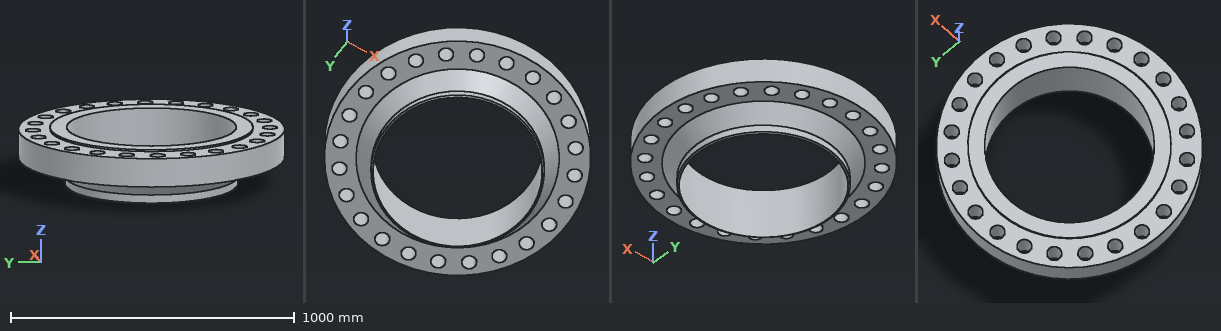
import cadquery as cq

flange_diameter = 940.0
flange_thickness = 102.0
face_diameter = 716.0
face_height = 7.0

total_height = 210.0
hub_diameter = 716.0
neck_diameter = 611.0
neck_height = 34.0
bevel_width = 7.5
bevel_height = 5.0
bore_diameter = 598.0

bolt_count = 24
bolt_circle_diameter = 836.0
bolt_hole_diameter = 52.0

flange_top = total_height - face_height
flange_bottom = flange_top - flange_thickness
bore_radius = bore_diameter / 2
neck_radius = neck_diameter / 2


def make_body():
    """Revolve the half section of the flange, hub and neck about Z."""
    section = [
        (bore_radius, 0),
        (neck_radius - bevel_width, 0),
        (neck_radius, bevel_height),
        (neck_radius, neck_height),
        (hub_diameter / 2, flange_bottom),
        (flange_diameter / 2, flange_bottom),
        (flange_diameter / 2, flange_top),
        (face_diameter / 2, flange_top),
        (face_diameter / 2, total_height),
        (bore_radius, total_height),
    ]
    return cq.Workplane("XZ").polyline(section).close().revolve(360, (0, 0), (0, 1))


def make_bolt_holes():
    """Cylinders that pass through the flange at every bolt position."""
    half_pitch = 360 / bolt_count / 2
    return (
        cq.Workplane("XY")
        .workplane(offset=flange_bottom)
        .polarArray(bolt_circle_diameter / 2, half_pitch, 360, bolt_count)
        .circle(bolt_hole_diameter / 2)
        .extrude(flange_thickness)
    )


result = make_body().cut(make_bolt_holes())